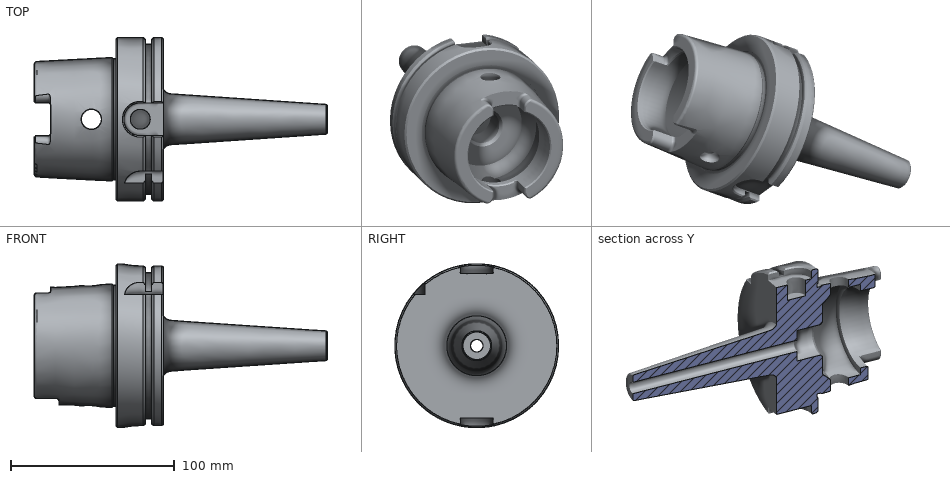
import cadquery as cq
import math

total_length = 179.0

shank_end_radius = 35.3
shank_base_radius = 37.8
shank_length = 47.5
shank_face_round = 1.8

undercut_start = 48.3
undercut_radius = 37.0
face_recess_radius = 39.2
face_recess_depth = 0.5

flange_start = 50.0
flange_end = 79.0
flange_diameter = 100.0
flange_radius = flange_diameter / 2
flange_chamfer = 1.0

groove_start = 68.0
groove_end = 71.6
groove_radius = 45.8
groove_chamfer = 1.5

neck_blend_end = 83.8
neck_radius = 15.5
neck_flange_radius = 18.3
tip_radius = 9.1
tip_chamfer = 0.7

mouth_radius = 26.5
mouth_chamfer = 0.7
mouth_length = 20.4
cavity_radius = 31.1
cavity_end = 39.4
floor_radius = 24.3
floor_position = 46.5

tube_bore_radius = 12.0
tube_step_radius = 10.4
tube_step_length = 1.8
tube_bore_end = 64.5
coolant_radius = 3.8

drive_slot_half_width = 10.0
drive_slot_round = 4.5
drive_slot_round_start = 27.7
drive_slot_floor_fillet = 1.6
drive_slot_face_chamfer = 0.9
upper_drive_slot_depth = 10.0
lower_drive_slot_depth = 15.0

hole_radius = 6.0
shank_hole_position = 34.9
seat_hole_depth = 10.7

keyway_position = 64.8
keyway_radius = 10.0
keyway_floor = 44.0
keyway_edge_chamfer = 0.9
notch_wall = 31.7
notch_floor = 31.3

clearance = 7.2
edge_margin = 0.2


def revolve_about_x(profile):
    return profile.close().revolve(360, (0, 0, 0), (1, 0, 0))


def make_shank():
    profile = (
        cq.Workplane("XY")
        .lineTo(0, shank_end_radius)
        .lineTo(shank_length, shank_base_radius)
        .lineTo(undercut_start, undercut_radius)
        .lineTo(flange_end, undercut_radius)
        .lineTo(flange_end, 0)
    )
    return revolve_about_x(profile).faces("<X").edges().fillet(shank_face_round)


def keyway_cutter(y_center, floor):
    """Round-ended slot, open towards the nose, from the given floor height upwards."""
    run_out = flange_end + clearance - keyway_position
    height = flange_radius + clearance - floor
    plane = cq.Workplane("XY", origin=(keyway_position, y_center, floor))
    round_end = plane.circle(keyway_radius).extrude(height)
    channel = plane.center(run_out / 2, 0).rect(run_out, 2 * keyway_radius).extrude(height)
    return round_end.union(channel)


def make_groove_cutter():
    profile = (
        cq.Workplane("XY")
        .moveTo(groove_start, groove_radius)
        .lineTo(groove_start, flange_radius - groove_chamfer)
        .lineTo(groove_start - groove_chamfer, flange_radius)
        .lineTo(groove_start - groove_chamfer, flange_radius + clearance)
        .lineTo(groove_end + groove_chamfer, flange_radius + clearance)
        .lineTo(groove_end + groove_chamfer, flange_radius)
        .lineTo(groove_end, flange_radius - groove_chamfer)
        .lineTo(groove_end, groove_radius)
    )
    return revolve_about_x(profile)


def make_rim_envelope():
    width = flange_end - flange_start
    blank = cq.Workplane("YZ", origin=(flange_start, 0, 0)).circle(flange_radius).extrude(width)
    return blank.faces("<X or >X").edges().chamfer(flange_chamfer)


def make_flange():
    width = flange_end - flange_start
    flange = cq.Workplane("YZ", origin=(flange_start, 0, 0)).circle(flange_radius).extrude(width)

    keyway = keyway_cutter(0, keyway_floor)
    flange = flange.cut(keyway).cut(keyway.mirror("XY"))
    reach = keyway_radius + keyway_edge_chamfer
    rim_z = math.sqrt(flange_radius**2 - reach**2)
    for side in (1, -1):
        zone = cq.selectors.BoxSelector(
            (flange_start + edge_margin, -reach, side * rim_z),
            (flange_end - edge_margin, reach, side * (flange_radius + clearance)),
        )
        flange = flange.edges(zone).chamfer(keyway_edge_chamfer)

    flange = flange.intersect(make_rim_envelope())
    flange = flange.cut(make_groove_cutter())

    flange = flange.cut(keyway_cutter(-notch_wall - keyway_radius, notch_floor))

    recess = (
        cq.Workplane("YZ", origin=(flange_start, 0, 0))
        .circle(face_recess_radius)
        .circle(undercut_radius)
        .extrude(face_recess_depth)
    )
    return flange.cut(recess)


def make_nose():
    blend_length = neck_blend_end - flange_end
    blend_rise = neck_flange_radius - neck_radius
    blend_radius = (blend_length**2 + blend_rise**2) / (2 * blend_rise)
    half_sweep = math.atan2(blend_rise, blend_length)
    blend_middle = (
        neck_blend_end - blend_radius * math.sin(half_sweep),
        neck_radius + blend_radius * (1 - math.cos(half_sweep)),
    )
    profile = (
        cq.Workplane("XY")
        .moveTo(flange_start, 0)
        .lineTo(flange_start, neck_flange_radius)
        .lineTo(flange_end, neck_flange_radius)
        .threePointArc(blend_middle, (neck_blend_end, neck_radius))
        .lineTo(total_length - tip_chamfer, tip_radius)
        .lineTo(total_length, tip_radius - tip_chamfer)
        .lineTo(total_length, 0)
    )
    return revolve_about_x(profile)


def make_bore():
    """Shank cavity, seat of the coolant tube and the coolant bore through the nose."""
    profile = (
        cq.Workplane("XY")
        .lineTo(0, mouth_radius + mouth_chamfer)
        .lineTo(mouth_chamfer, mouth_radius)
        .lineTo(mouth_length, mouth_radius)
        .lineTo(mouth_length, cavity_radius)
        .lineTo(cavity_end, cavity_radius)
        .lineTo(floor_position, floor_radius)
        .lineTo(floor_position, tube_bore_radius)
        .lineTo(floor_position + tube_step_length, tube_step_radius)
        .lineTo(tube_bore_end, tube_step_radius)
        .lineTo(tube_bore_end, coolant_radius)
        .lineTo(total_length, coolant_radius)
        .lineTo(total_length, 0)
    )
    return revolve_about_x(profile)


def drive_slot_outline(x, growth=0.0):
    """Slot section that flares outward over convex rounds, optionally grown on all sides."""
    wall = drive_slot_half_width + growth
    radius = drive_slot_round - growth
    diagonal = radius * math.sqrt(0.5)
    round_center_y = wall + radius
    shelf_z = drive_slot_round_start + radius
    arc_middle_y = round_center_y - diagonal
    arc_middle_z = drive_slot_round_start + diagonal
    shelf_end = round_center_y + clearance
    top = shank_base_radius + clearance
    return (
        cq.Workplane("YZ", origin=(x, 0, 0))
        .moveTo(-wall, 0)
        .lineTo(-wall, drive_slot_round_start)
        .threePointArc((-arc_middle_y, arc_middle_z), (-round_center_y, shelf_z))
        .lineTo(-shelf_end, shelf_z)
        .lineTo(-shelf_end, top)
        .lineTo(shelf_end, top)
        .lineTo(shelf_end, shelf_z)
        .lineTo(round_center_y, shelf_z)
        .threePointArc((arc_middle_y, arc_middle_z), (wall, drive_slot_round_start))
        .lineTo(wall, 0)
        .close()
    )


def drive_slot_cutter(depth):
    slot = drive_slot_outline(-clearance).extrude(depth + clearance)
    slot = slot.faces(">X").edges().fillet(drive_slot_floor_fillet)

    bevel = cq.Workplane(
        cq.Solid.makeLoft(
            [
                drive_slot_outline(0, drive_slot_face_chamfer).val(),
                drive_slot_outline(drive_slot_face_chamfer).val(),
            ],
            True,
        )
    )

    bore_bevel = cq.Workplane(
        cq.Solid.makeCone(
            mouth_radius + mouth_chamfer,
            mouth_radius,
            mouth_chamfer,
            pnt=cq.Vector(depth, 0, 0),
            dir=cq.Vector(1, 0, 0),
        )
    )
    slot_width = drive_slot_outline(depth).extrude(mouth_chamfer)
    return slot.union(bevel).union(bore_bevel.intersect(slot_width))


def cross_hole(x, z_bottom, z_top):
    return cq.Workplane("XY", origin=(x, 0, z_bottom)).circle(hole_radius).extrude(z_top - z_bottom)


outside = make_shank().union(make_flange()).union(make_nose())
upper_slot = drive_slot_cutter(upper_drive_slot_depth)
lower_slot = drive_slot_cutter(lower_drive_slot_depth).mirror("XY")
shank_hole = cross_hole(shank_hole_position, -shank_base_radius, shank_base_radius)
seat_hole = cross_hole(keyway_position, keyway_floor - seat_hole_depth, keyway_floor)

result = outside.cut(make_bore()).cut(upper_slot).cut(lower_slot).cut(shank_hole).cut(seat_hole)